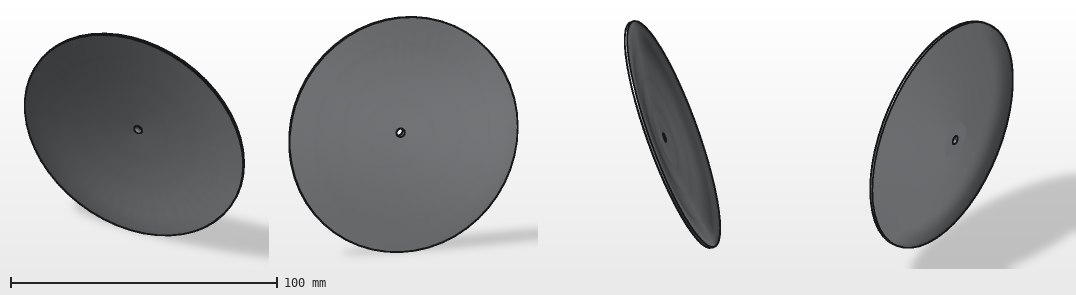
import cadquery as cq

outer_diameter = 90.0
overall_depth = 6.8
rim_height = 1.1
bowl_depth = 3.8
flat_diameter = 13.9
crown_bulge = 0.45
hole_diameter = 3.2

outer_radius = outer_diameter / 2
flat_radius = flat_diameter / 2
hole_radius = hole_diameter / 2


def spherical_height(radius):
    """Height of the spherical bowl above the rim plane at a given radius."""
    sphere_radius = (outer_radius**2 + bowl_depth**2) / (2 * bowl_depth)
    return bowl_depth - sphere_radius + (sphere_radius**2 - radius**2) ** 0.5


def dish_profile():
    """Half section of the dish, between its axis and its rim."""
    bowl_middle_radius = outer_radius / 2
    bowl_middle = (bowl_middle_radius, spherical_height(bowl_middle_radius))
    crown_middle = (
        (outer_radius + flat_radius) / 2,
        (rim_height + overall_depth) / 2 + crown_bulge,
    )
    return (
        cq.Workplane("XY")
        .moveTo(0, bowl_depth)
        .threePointArc(bowl_middle, (outer_radius, 0))
        .lineTo(outer_radius, rim_height)
        .threePointArc(crown_middle, (flat_radius, overall_depth))
        .lineTo(0, overall_depth)
        .close()
    )


dish = dish_profile().revolve(360, (0, 0, 0), (0, 1, 0))

hole = cq.Workplane("XZ").circle(hole_radius).extrude(-overall_depth)

result = dish.cut(hole)